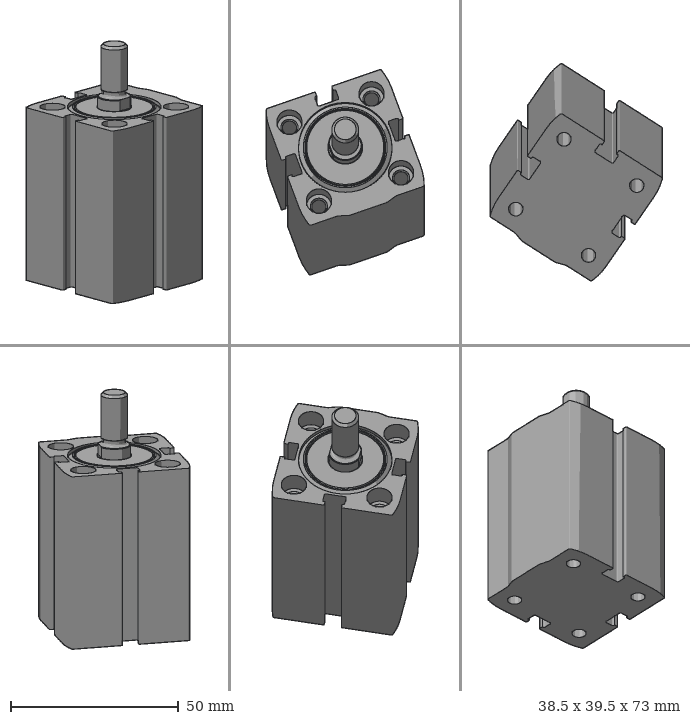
import cadquery as cq
import math

HALF_WIDTH = 38.5 / 2
HOUSING_HEIGHT = 53.5
SIDE_FLAT_HALF = 12.85
CORNER_X = 18.1
CORNER_RADIUS = 0.6

BUMP_RISE = 1.0
BUMP_TOP_HALF = 6.0
BUMP_BASE_HALF = 9.2
BUMP_RADIUS = 2.9

SLOT_DEPTH = 4.5
SLOT_HALF = 6.65 / 2
SLOT_MOUTH_HALF = 5.2 / 2
SLOT_LIP = 1.4
SLOT_CORNER_RADIUS = 0.45
SLOT_LIP_RADIUS = 0.3

HOLE_OFFSET = 13.0
HOLE_DIAMETER = 4.2
COUNTERBORE_DIAMETER = 7.5
COUNTERBORE_DEPTH = 5.85
HOLE_CHAMFER = 0.45

BORE_RADIUS = 27.8 / 2
BORE_DEPTH = 1.1
RIDGE_RADIUS = 25.0 / 2
GROOVE_RADIUS = 12.05
GROOVE_DEPTH = 1.1
CAP_RADIUS = 11.75
CAP_CHAMFER = 0.3
ROD_HOLE_CHAMFER = 0.18

ROD_RADIUS = 10.0 / 2
ROD_END_Z = 73.0
COLLAR_HEIGHT = 3.4
COLLAR_CHAMFER = 0.2
ACROSS_FLATS = 9.0
THREAD_RADIUS = 8.0 / 2
THREAD_CHAMFER = 0.8
THREAD_LENGTH = 13.95
NECK_RADIUS = 6.4 / 2
ROD_DEPTH = 14.6


def fillet_at(body, corners, radius):
    """Round the vertical edges that stand on the given corner points."""
    edges = [min(body.edges("|Z").vals(),
                 key=lambda edge: math.dist(edge.Center().toTuple()[:2], corner))
             for corner in corners]
    return body.newObject(edges).fillet(radius)


def side_slot(direction):
    """T-slot cutter open towards `direction` degrees in the XY plane, over the full height."""
    overshoot = 0.7
    floor_x = HALF_WIDTH - SLOT_DEPTH
    lip_x = HALF_WIDTH - SLOT_LIP
    pocket = (
        cq.Workplane("XY")
        .box(lip_x - floor_x, 2 * SLOT_HALF, HOUSING_HEIGHT, centered=(False, True, False))
        .edges("|Z")
        .fillet(SLOT_CORNER_RADIUS)
        .translate((floor_x, 0, 0))
    )
    mouth = (
        cq.Workplane("XY")
        .box(HALF_WIDTH + overshoot - floor_x, 2 * SLOT_MOUTH_HALF, HOUSING_HEIGHT,
             centered=(False, True, False))
        .translate((floor_x, 0, 0))
    )
    return pocket.union(mouth).rotate((0, 0, 0), (0, 0, 1), direction)


def lip_corners():
    """Outer corners of the slot mouths on both sides and the front."""
    corners = []
    for offset in (-SLOT_MOUTH_HALF, SLOT_MOUTH_HALF):
        corners += [(HALF_WIDTH, offset), (-HALF_WIDTH, offset), (offset, -HALF_WIDTH)]
    return corners


def make_profile():
    """Housing section: flat front, sides curving inward at the corners, raised strip at the back."""
    bulge = HALF_WIDTH - SIDE_FLAT_HALF
    inset = HALF_WIDTH - CORNER_X
    arc_radius = (bulge**2 + inset**2) / (2 * inset)
    back = HALF_WIDTH + BUMP_RISE
    body = (
        cq.Workplane("XY")
        .moveTo(-CORNER_X, -HALF_WIDTH)
        .lineTo(CORNER_X, -HALF_WIDTH)
        .radiusArc((HALF_WIDTH, -SIDE_FLAT_HALF), -arc_radius)
        .lineTo(HALF_WIDTH, SIDE_FLAT_HALF)
        .radiusArc((CORNER_X, HALF_WIDTH), -arc_radius)
        .lineTo(BUMP_BASE_HALF, HALF_WIDTH)
        .lineTo(BUMP_TOP_HALF, back)
        .lineTo(-BUMP_TOP_HALF, back)
        .lineTo(-BUMP_BASE_HALF, HALF_WIDTH)
        .lineTo(-CORNER_X, HALF_WIDTH)
        .radiusArc((-HALF_WIDTH, SIDE_FLAT_HALF), -arc_radius)
        .lineTo(-HALF_WIDTH, -SIDE_FLAT_HALF)
        .radiusArc((-CORNER_X, -HALF_WIDTH), -arc_radius)
        .close()
        .extrude(HOUSING_HEIGHT)
    )
    corners = [(x, y) for x in (-CORNER_X, CORNER_X) for y in (-HALF_WIDTH, HALF_WIDTH)]
    bump_corners = [(side * x, y) for side in (-1, 1)
                    for x, y in ((BUMP_BASE_HALF, HALF_WIDTH), (BUMP_TOP_HALF, back))]
    body = fillet_at(body, corners, CORNER_RADIUS)
    return fillet_at(body, bump_corners, BUMP_RADIUS)


def screw_hole():
    """Cutter for one through hole with a counterbore and a chamfered seat."""
    hole_radius = HOLE_DIAMETER / 2
    seat_z = HOUSING_HEIGHT - COUNTERBORE_DEPTH
    return (
        cq.Workplane("XZ")
        .polyline([
            (0, 0),
            (hole_radius, 0),
            (hole_radius, seat_z - HOLE_CHAMFER),
            (hole_radius + HOLE_CHAMFER, seat_z),
            (COUNTERBORE_DIAMETER / 2, seat_z),
            (COUNTERBORE_DIAMETER / 2, HOUSING_HEIGHT),
            (0, HOUSING_HEIGHT),
        ])
        .close()
        .revolve(360, (0, 0, 0), (0, 1, 0))
    )


def cap_rings():
    """Cutter for the conical ring step and the narrow groove around the chamfered end cap."""
    top = HOUSING_HEIGHT
    step = [(BORE_RADIUS, top), (BORE_RADIUS, top - BORE_DEPTH), (RIDGE_RADIUS, top)]
    groove = [
        (GROOVE_RADIUS, top),
        (GROOVE_RADIUS, top - GROOVE_DEPTH),
        (CAP_RADIUS, top - GROOVE_DEPTH),
        (CAP_RADIUS, top - CAP_CHAMFER),
        (CAP_RADIUS - CAP_CHAMFER, top),
    ]
    return [cq.Workplane("XZ").polyline(points).close().revolve(360, (0, 0, 0), (0, 1, 0))
            for points in (step, groove)]


def rod_hole():
    """Cutter for the blind rod hole with a chamfered mouth."""
    bottom = HOUSING_HEIGHT - ROD_DEPTH
    return (
        cq.Workplane("XZ")
        .polyline([
            (0, bottom),
            (ROD_RADIUS, bottom),
            (ROD_RADIUS, HOUSING_HEIGHT - ROD_HOLE_CHAMFER),
            (ROD_RADIUS + ROD_HOLE_CHAMFER, HOUSING_HEIGHT),
            (0, HOUSING_HEIGHT),
        ])
        .close()
        .revolve(360, (0, 0, 0), (0, 1, 0))
    )


def make_housing():
    """Extruded cylinder body with its slots, screw holes, end cap rings and rod hole."""
    body = make_profile()
    for direction in (0, 180, 270):
        body = body.cut(side_slot(direction))
    body = fillet_at(body, lip_corners(), SLOT_LIP_RADIUS)
    for x in (-HOLE_OFFSET, HOLE_OFFSET):
        for y in (-HOLE_OFFSET, HOLE_OFFSET):
            body = body.cut(screw_hole().translate((x, y, 0)))
    for cutter in cap_rings():
        body = body.cut(cutter)
    return body.cut(rod_hole())


def make_rod():
    """Rod with a flatted collar, a rounded undercut and a plain threaded end."""
    collar_top = HOUSING_HEIGHT + COLLAR_HEIGHT
    thread_start = ROD_END_Z - THREAD_LENGTH
    neck_fillet = THREAD_RADIUS - NECK_RADIUS
    corner = neck_fillet * (1 - math.cos(math.radians(45)))
    rod = (
        cq.Workplane("XZ")
        .moveTo(0, HOUSING_HEIGHT - ROD_DEPTH)
        .lineTo(ROD_RADIUS, HOUSING_HEIGHT - ROD_DEPTH)
        .lineTo(ROD_RADIUS, collar_top - COLLAR_CHAMFER)
        .lineTo(ROD_RADIUS - COLLAR_CHAMFER, collar_top)
        .lineTo(THREAD_RADIUS, collar_top)
        .threePointArc((NECK_RADIUS + corner, collar_top + corner),
                       (NECK_RADIUS, collar_top + neck_fillet))
        .lineTo(NECK_RADIUS, thread_start - neck_fillet)
        .threePointArc((NECK_RADIUS + corner, thread_start - corner),
                       (THREAD_RADIUS, thread_start))
        .lineTo(THREAD_RADIUS, ROD_END_Z - THREAD_CHAMFER)
        .lineTo(THREAD_RADIUS - THREAD_CHAMFER, ROD_END_Z)
        .lineTo(0, ROD_END_Z)
        .close()
        .revolve(360, (0, 0, 0), (0, 1, 0))
    )
    for flat in (rod_flat(), rod_flat().mirror("YZ")):
        rod = rod.cut(flat)
    return rod


def rod_flat():
    """Cutter for the +X wrench flat; its lower end runs out at 45 degrees just inside the hole."""
    inner_x = ACROSS_FLATS / 2
    outer_x = ROD_RADIUS + COLLAR_CHAMFER
    return (
        cq.Workplane("XZ")
        .polyline([
            (inner_x, HOUSING_HEIGHT + COLLAR_HEIGHT),
            (inner_x, HOUSING_HEIGHT),
            (outer_x, HOUSING_HEIGHT - (outer_x - inner_x)),
            (outer_x, HOUSING_HEIGHT + COLLAR_HEIGHT),
        ])
        .close()
        .extrude(ROD_RADIUS, both=True)
    )


housing = make_housing()
rod = make_rod()

result = cq.Compound.makeCompound([housing.solids().val(), rod.solids().val()])